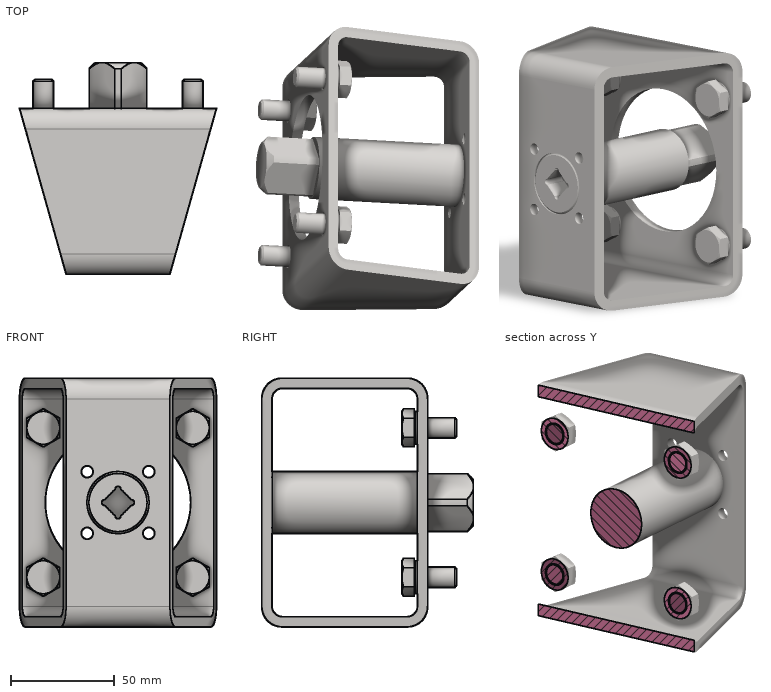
import cadquery as cq
import math


height = 120.0
depth = 80.0
front_width = 50.0
back_width = 95.0
wall = 5.0
bend_radius = 10.0
opening_dia = 70.0
front_hole_dia = 5.5
front_hole_circle_dia = 42.0
bolt_clearance_dia = 11.0

shaft_length = 102.0
shaft_dia = 30.0
shaft_chamfer = 1.0
round_length = 76.8
drive_across_flats = 22.0
drive_corner_dia = 28.0
drive_chamfer = 2.9
socket_across_flats = 11.0
socket_depth = 12.0
relief_radius = 1.5

bolt_spacing = 72.0
bolt_dia = 10.0
bolt_length = 20.0
bolt_tip_chamfer = 1.0
head_across_flats = 16.0
head_height = 6.0
head_chamfer_angle = 30.0
head_face_dia = 15.8
bearing_face_dia = 14.6
bearing_face_height = 0.4
washer_outer_dia = 16.0
washer_hole_dia = 10.5
washer_thickness = 1.0

inner_back_y = depth - wall
bolt_seat_y = inner_back_y - washer_thickness
half_spacing = bolt_spacing / 2
bolt_centres = [(x, z) for x in (-half_spacing, half_spacing) for z in (-half_spacing, half_spacing)]


def rod(diameter, start_y, end_y, x=0.0, z=0.0):
    """Cylinder along +Y from start_y to end_y."""
    return (
        cq.Workplane("XZ", origin=(x, start_y, z))
        .circle(diameter / 2)
        .extrude(start_y - end_y)
    )


def prism(sketch, start_y, end_y):
    """Sketch in the XZ plane, extruded along +Y from start_y to end_y."""
    return sketch.extrude(start_y - end_y).translate((0, start_y, 0))


def make_bracket():
    loop = (
        cq.Workplane("YZ")
        .center(depth / 2, 0)
        .rect(depth, height)
        .extrude(back_width / 2, both=True)
        .edges("|X")
        .fillet(bend_radius)
    )
    inside = (
        cq.Workplane("YZ")
        .center(depth / 2, 0)
        .rect(depth - 2 * wall, height - 2 * wall)
        .extrude(back_width / 2, both=True)
        .edges("|X")
        .fillet(bend_radius - wall)
    )
    taper = (
        cq.Workplane("XY")
        .polyline([
            (-front_width / 2, 0),
            (front_width / 2, 0),
            (back_width / 2, depth),
            (-back_width / 2, depth),
        ])
        .close()
        .extrude(height / 2, both=True)
    )
    bracket = loop.cut(inside).intersect(taper)

    bracket = bracket.cut(rod(shaft_dia, 0, wall))
    small_hole_offset = front_hole_circle_dia / 2 * math.sqrt(0.5)
    for x in (-small_hole_offset, small_hole_offset):
        for z in (-small_hole_offset, small_hole_offset):
            bracket = bracket.cut(rod(front_hole_dia, 0, wall, x, z))

    bracket = bracket.cut(rod(opening_dia, inner_back_y, depth))
    for x, z in bolt_centres:
        bracket = bracket.cut(rod(bolt_clearance_dia, inner_back_y, depth, x, z))
    return bracket


def make_drive_end():
    """Square bar on its corner, with turned corners and a conical end chamfer."""
    square = cq.Workplane("XZ").transformed(rotate=(0, 0, 45)).rect(drive_across_flats, drive_across_flats)
    bar = prism(square, round_length, shaft_length)
    corner_radius = drive_corner_dia / 2
    envelope = (
        cq.Workplane("XY")
        .polyline([
            (0, round_length),
            (corner_radius, round_length),
            (corner_radius, shaft_length - drive_chamfer),
            (corner_radius - drive_chamfer, shaft_length),
            (0, shaft_length),
        ])
        .close()
        .revolve(360, (0, 0, 0), (0, 1, 0))
    )
    return bar.intersect(envelope)


def make_socket():
    """Square socket on its corner; a round relief passes through each corner of the square."""
    square = cq.Workplane("XZ").transformed(rotate=(0, 0, 45)).rect(socket_across_flats, socket_across_flats)
    socket = prism(square, 0, socket_depth)
    relief_offset = socket_across_flats * math.sqrt(0.5) - relief_radius
    for quarter in range(4):
        angle = quarter * math.pi / 2
        x = relief_offset * math.cos(angle)
        z = relief_offset * math.sin(angle)
        socket = socket.union(rod(2 * relief_radius, 0, socket_depth, x, z))
    return socket


def make_shaft():
    body = rod(shaft_dia, 0, round_length).faces("<Y").chamfer(shaft_chamfer)
    return body.union(make_drive_end()).cut(make_socket())


def make_bolt(x, z):
    """Hex head bolt pointing along +Y, its bearing face on the washer."""
    head_back_y = bolt_seat_y - bearing_face_height
    head_front_y = head_back_y - head_height
    across_corners = head_across_flats / math.cos(math.pi / 6)
    hexagon = cq.Workplane("XZ").transformed(rotate=(0, 0, 30)).polygon(6, across_corners)
    head = prism(hexagon, head_front_y, head_back_y)

    bevel_radial = (across_corners - head_face_dia) / 2
    bevel_axial = bevel_radial * math.tan(math.radians(head_chamfer_angle))
    envelope = rod(across_corners, head_front_y, head_back_y)
    envelope = envelope.faces("<Y").chamfer(bevel_axial, bevel_radial)
    head = head.intersect(envelope).translate((x, 0, z))

    bearing_face = rod(bearing_face_dia, head_back_y, bolt_seat_y, x, z)
    shank = rod(bolt_dia, bolt_seat_y, bolt_seat_y + bolt_length, x, z)
    shank = shank.faces(">Y").chamfer(bolt_tip_chamfer)
    return head.union(bearing_face).union(shank)


def make_washer(x, z):
    disc = rod(washer_outer_dia, bolt_seat_y, inner_back_y, x, z)
    return disc.cut(rod(washer_hole_dia, bolt_seat_y, inner_back_y, x, z))


bracket = make_bracket()
shaft = make_shaft()
bolts = [make_bolt(x, z) for x, z in bolt_centres]
washers = [make_washer(x, z) for x, z in bolt_centres]

result = cq.Compound.makeCompound([
    bracket.val(),
    shaft.val(),
    *[bolt.val() for bolt in bolts],
    *[washer.val() for washer in washers],
])